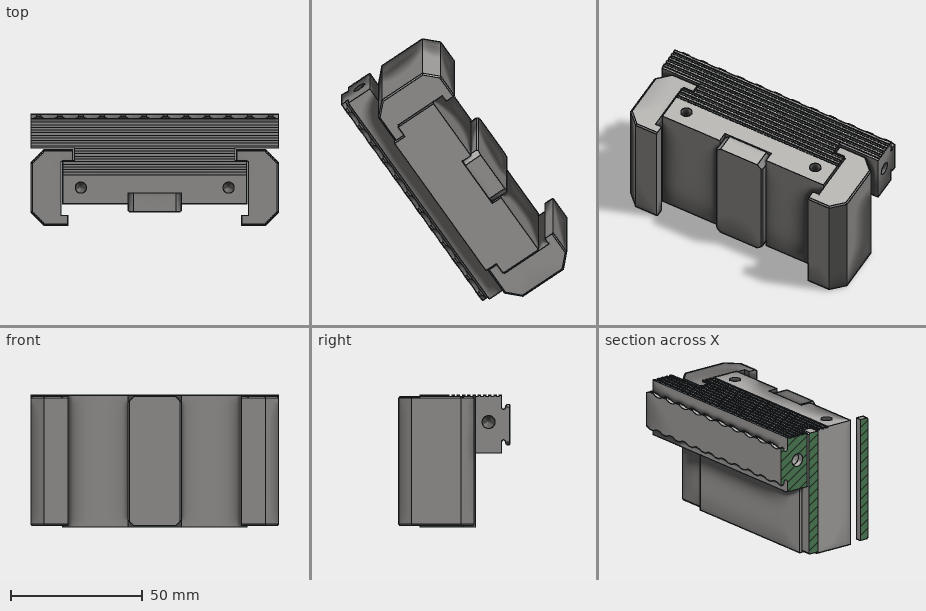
import cadquery as cq
import math

LENGTH = 94.0
DEPTH = 42.2
HEIGHT = 50.0

GAP = 0.6

BODY_WIDTH = 69.9
BODY_FRONT = 8.2
BODY_BACK = 24.5
NECK_WIDTH = 60.9

RAIL_LENGTH = 93.9
RAIL_FRONT = 29.2
RAIL_BACK = 39.1
RAIL_BOTTOM = 28.0

DOVETAIL_CENTER_Z = 38.87
DOVETAIL_HALF_HEIGHT = 7.7
DOVETAIL_TIP_Y = 41.2
DOVETAIL_FLANK_FOOT = 7.0
DOVETAIL_EDGE_BEVEL = 0.3
RELIEF_RADIUS = 0.705
RELIEF_CENTER_HALF_HEIGHT = 6.53

SCALLOP_RADIUS = 4.9
SCALLOP_DEPTH = 1.1
SCALLOP_PITCH = 8.0
SCALLOP_COUNT = 13

GROOVE_WIDTH = 1.0
GROOVE_PITCH = 2 * GROOVE_WIDTH
GROOVE_DEPTH = 0.5
GROOVE_COUNT = 10

JAW_BACK = RAIL_FRONT - GAP
JAW_INNER_X = BODY_WIDTH / 2 + GAP
JAW_HOOK_X = NECK_WIDTH / 2 + GAP
JAW_HOOK_FRONT = 24.2
JAW_LIP_X = 32.9
JAW_LIP_THICKNESS = 3.8
JAW_CORNER = 5.0
JAW_BEVEL = 0.6

PAD_WIDTH = 20.1
PAD_FRONT = 5.1
PAD_BACK = 12.2
PAD_CORNER = 2.1
PAD_EDGE_BEVEL = 0.6

DRILL_TIP_ANGLE = 118.0
TOP_HOLE_DIAMETER = 4.2
TOP_HOLE_DEPTH = 14.1
TOP_HOLE_X = 28.0
TOP_HOLE_Y = 14.3
END_HOLE_DIAMETER = 4.9
END_HOLE_DEPTH = 14.1
END_HOLE_Y = 34.1
END_HOLE_Z = 39.9


def block(width, y_front, y_back, z_bottom, z_top):
    """Box centred on X = 0 between the given Y and Z limits."""
    return (
        cq.Workplane("XY")
        .box(width, y_back - y_front, z_top - z_bottom, centered=(True, False, False))
        .translate((0, y_front, z_bottom))
    )


def dovetail():
    """Rear dovetail with rounded reliefs where it leaves the rail bar."""
    tip = DOVETAIL_HALF_HEIGHT
    relief = RELIEF_CENTER_HALF_HEIGHT
    relief_y = RAIL_BACK + RELIEF_RADIUS
    flank_y = relief_y + RELIEF_RADIUS
    bevel = DOVETAIL_EDGE_BEVEL
    upper_half = (
        cq.Workplane("YZ")
        .moveTo(RAIL_BACK, 0)
        .lineTo(RAIL_BACK, relief)
        .threePointArc((relief_y, relief - RELIEF_RADIUS), (flank_y, relief))
        .lineTo(flank_y, DOVETAIL_FLANK_FOOT)
        .lineTo(DOVETAIL_TIP_Y, tip)
        .lineTo(DEPTH - bevel, tip)
        .lineTo(DEPTH, tip - bevel)
        .lineTo(DEPTH, 0)
        .close()
        .extrude(RAIL_LENGTH / 2, both=True)
    )
    scallop = (
        cq.Workplane("XZ", origin=(0, DEPTH, tip - SCALLOP_DEPTH + SCALLOP_RADIUS))
        .circle(SCALLOP_RADIUS)
        .extrude(DEPTH - RAIL_BACK)
    )
    first_x = -SCALLOP_PITCH * (SCALLOP_COUNT - 1) / 2
    for index in range(SCALLOP_COUNT):
        upper_half = upper_half.cut(scallop.translate((first_x + index * SCALLOP_PITCH, 0, 0)))
    full = upper_half.union(upper_half.mirror("XY"))
    return full.translate((0, 0, DOVETAIL_CENTER_Z))


def left_jaw():
    """C-shaped jaw whose hook catches behind the body, bevelled along its outer edges."""
    outer = LENGTH / 2
    outline = [
        (-JAW_LIP_X, 0),
        (-outer + JAW_CORNER, 0),
        (-outer, JAW_CORNER),
        (-outer, JAW_BACK - JAW_CORNER),
        (-outer + JAW_CORNER, JAW_BACK),
        (-JAW_HOOK_X, JAW_BACK),
        (-JAW_HOOK_X, JAW_HOOK_FRONT),
        (-JAW_INNER_X, JAW_HOOK_FRONT),
        (-JAW_INNER_X, JAW_LIP_THICKNESS),
        (-JAW_LIP_X, JAW_LIP_THICKNESS),
    ]
    jaw = (
        cq.Workplane("XY", origin=(0, 0, GAP))
        .polyline(outline)
        .close()
        .extrude(HEIGHT - 2 * GAP)
    )
    inner_edges = cq.selectors.BoxSelector(
        (-JAW_INNER_X - GAP / 2, GAP, -HEIGHT),
        (0, JAW_BACK - GAP, 2 * HEIGHT),
    )
    end_edges = cq.selectors.StringSyntaxSelector("#Z")
    return jaw.edges(end_edges - inner_edges).chamfer(JAW_BEVEL)


def pad():
    """Front pad with cut corners and bevelled vertical front edges."""
    shape = block(PAD_WIDTH, PAD_FRONT, PAD_BACK, GAP, HEIGHT - GAP)
    shape = shape.edges("|Y").chamfer(PAD_CORNER)
    return shape.edges("|Z and <Y").chamfer(PAD_EDGE_BEVEL)


def drill(diameter, depth, start, direction):
    """Drill body with a conical tip, entering at start along direction."""
    radius = diameter / 2
    tip_height = radius / math.tan(math.radians(DRILL_TIP_ANGLE / 2))
    axis = cq.Vector(*direction)
    entry = cq.Vector(*start)
    shank = cq.Solid.makeCylinder(radius, depth, entry, axis)
    tip = cq.Solid.makeCone(radius, 0, tip_height, entry + axis * depth, axis)
    return cq.Workplane(shank).union(cq.Workplane(tip))


frame = (
    block(BODY_WIDTH, BODY_FRONT, BODY_BACK, 0, HEIGHT)
    .union(block(NECK_WIDTH, BODY_BACK, RAIL_FRONT, 0, HEIGHT))
    .union(block(RAIL_LENGTH, RAIL_FRONT, RAIL_BACK, RAIL_BOTTOM, HEIGHT))
    .union(dovetail())
)

for index in range(GROOVE_COUNT):
    groove_back = RAIL_BACK - GROOVE_WIDTH - index * GROOVE_PITCH
    frame = frame.cut(
        block(RAIL_LENGTH, groove_back - GROOVE_WIDTH, groove_back, HEIGHT - GROOVE_DEPTH, HEIGHT)
    )

frame = frame.cut(block(PAD_WIDTH, BODY_FRONT, PAD_BACK, 0, HEIGHT))

for side in (-1, 1):
    top_start = (side * TOP_HOLE_X, TOP_HOLE_Y, HEIGHT)
    end_start = (side * RAIL_LENGTH / 2, END_HOLE_Y, END_HOLE_Z)
    frame = frame.cut(drill(TOP_HOLE_DIAMETER, TOP_HOLE_DEPTH, top_start, (0, 0, -1)))
    frame = frame.cut(drill(END_HOLE_DIAMETER, END_HOLE_DEPTH, end_start, (-side, 0, 0)))

jaw = left_jaw()
result = frame.union(pad()).union(jaw).union(jaw.mirror("YZ"))